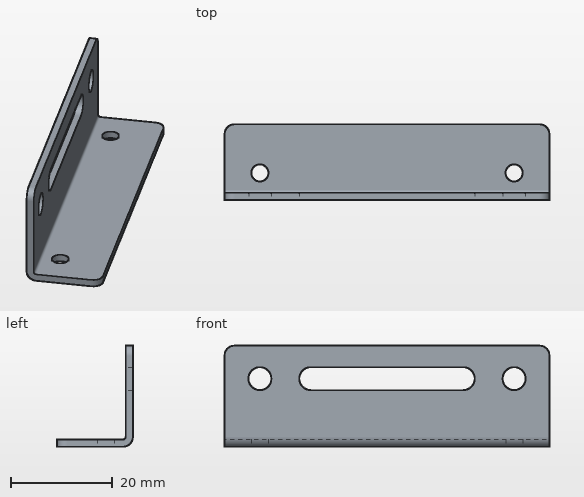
import cadquery as cq

length = 64.0
depth = 15.0
height = 20.0

thickness = 1.5
inner_bend_radius = 0.5
outer_bend_radius = inner_bend_radius + thickness
corner_radius = 2.0

hole_end_distance = 7.0
hole_spacing = length - 2 * hole_end_distance
wall_hole_diameter = 4.5
wall_hole_top_distance = 6.5
slot_length = 34.5
slot_width = wall_hole_diameter
base_hole_diameter = 3.3
base_hole_front_distance = 5.4


def bent_sheet():
    """L-shaped sheet: wall on the front (Y = 0), base on the bottom (Z = 0)."""
    profile = (
        cq.Workplane("YZ")
        .polyline([
            (0, 0),
            (depth, 0),
            (depth, thickness),
            (thickness, thickness),
            (thickness, height),
            (0, height),
        ])
        .close()
    )
    sheet = profile.extrude(length / 2, both=True)
    outer_bend = cq.NearestToPointSelector((0, 0, 0))
    inner_bend = cq.NearestToPointSelector((0, thickness, thickness))
    sheet = sheet.edges("|X").edges(outer_bend).fillet(outer_bend_radius)
    return sheet.edges("|X").edges(inner_bend).fillet(inner_bend_radius)


def round_free_corners(sheet):
    """Round the two corners at the free edge of each leg."""
    sheet = sheet.faces(">Z").edges("|Y").fillet(corner_radius)
    return sheet.faces(">Y").edges("|Z").fillet(corner_radius)


def wall_openings():
    """Cutters for the two wall holes and the slot between them."""
    opening_height = height - wall_hole_top_distance
    wall = cq.Workplane("XZ").center(0, opening_height)
    holes = (
        wall.rarray(hole_spacing, 0.65, 2, 1)
        .circle(wall_hole_diameter / 2)
        .extrude(-thickness)
    )
    slot = wall.slot2D(slot_length, slot_width).extrude(-thickness)
    return holes.union(slot)


def base_holes():
    """Cutters for the two holes in the base."""
    return (
        cq.Workplane("XY")
        .center(0, base_hole_front_distance)
        .rarray(hole_spacing, 0.65, 2, 1)
        .circle(base_hole_diameter / 2)
        .extrude(thickness)
    )


bracket = round_free_corners(bent_sheet())
result = bracket.cut(wall_openings()).cut(base_holes())